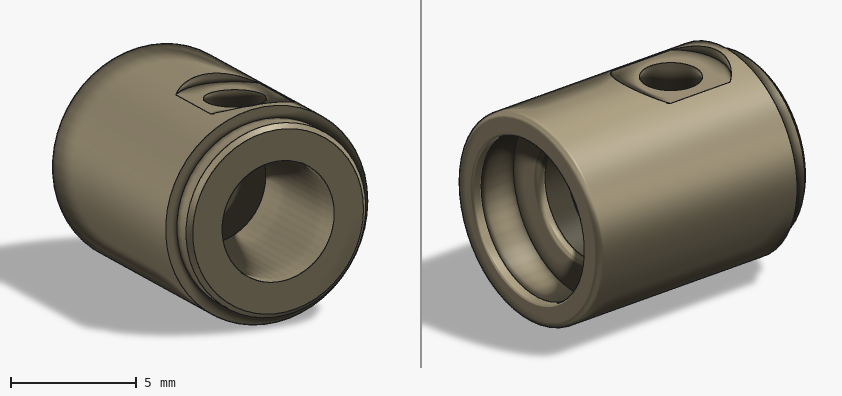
import cadquery as cq

total_length = 11.1
body_diameter = 9.0
body_edge_fillet = 0.24

spigot_length = 1.0
spigot_diameter = 8.0
spigot_chamfer = 0.2

ring_thickness = 0.5
front_ring_diameter = 7.0
front_ring_fillet = 0.1
inner_ring_start = 2.5
inner_ring_fillet = 0.2
chamber_diameter = spigot_diameter
rear_chamber_end = 5.1
bore_diameter = 5.0

port_x = 7.3
spotface_diameter = 4.8
spotface_depth = 0.4
port_diameter = 2.5

body_length = total_length - spigot_length
spotface_z = body_diameter / 2 - spotface_depth


def cylinder_along_x(diameter, start, end):
    return cq.Workplane("YZ").workplane(offset=start).circle(diameter / 2).extrude(end - start)


def ring_opening(diameter, start, edge_fillet):
    """Cutter for a ring's opening, flared so that both ring edges come out rounded."""
    radius = diameter / 2
    end = start + ring_thickness
    profile = (
        cq.Workplane("XY")
        .moveTo(start, 0)
        .lineTo(start, radius + edge_fillet)
        .radiusArc((start + edge_fillet, radius), -edge_fillet)
        .lineTo(end - edge_fillet, radius)
        .radiusArc((end, radius + edge_fillet), -edge_fillet)
        .lineTo(end, 0)
        .close()
    )
    return profile.revolve(360, (0, 0, 0), (1, 0, 0))


def port_cutter(diameter, bottom_z):
    return (
        cq.Workplane("XY")
        .workplane(offset=bottom_z)
        .center(port_x, 0)
        .circle(diameter / 2)
        .extrude(body_diameter - bottom_z)
    )


body = cylinder_along_x(body_diameter, 0, body_length).faces("<X").edges().fillet(body_edge_fillet)
spigot = cylinder_along_x(spigot_diameter, 0, total_length).faces(">X").edges().chamfer(spigot_chamfer)

inside_cutters = [
    ring_opening(front_ring_diameter, 0, front_ring_fillet),
    cylinder_along_x(chamber_diameter, ring_thickness, inner_ring_start),
    ring_opening(bore_diameter, inner_ring_start, inner_ring_fillet),
    cylinder_along_x(chamber_diameter, inner_ring_start + ring_thickness, rear_chamber_end),
    cylinder_along_x(bore_diameter, rear_chamber_end, total_length),
]

spotface = port_cutter(spotface_diameter, spotface_z)
port = port_cutter(port_diameter, 0)

result = body.union(spigot)
for cutter in inside_cutters + [spotface, port]:
    result = result.cut(cutter)